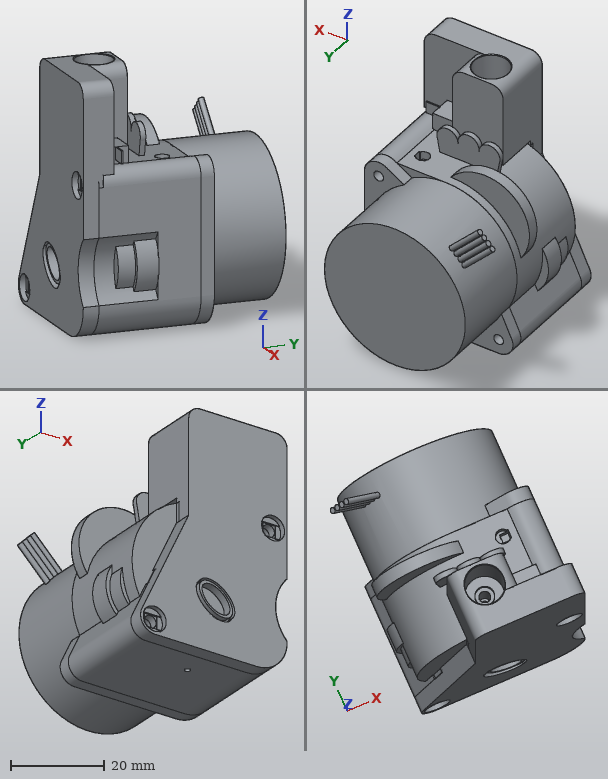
import cadquery as cq
import math


cover_back = 3.65
barrel_front = 4.6
head_back = 7.1
tower_back = 15.15
case_back = 27.15
flange_back = 30.2
motor_back = 47.1

half_width = 19.2
height = 57.75
top_corner_radius = 3.0
ear_radius = 3.7
base_corner_radius = 8.0
tower_left = -6.6
slope_top = (tower_left, 31.3)

motor_radius = 18.2
motor_z = 19.1
deck_z = motor_z + motor_radius
deck_right = 12.8
ramp_foot_x = 7.5

screw_offset = half_width - ear_radius
lower_screw = (-screw_offset, ear_radius)
upper_screw = (screw_offset, motor_z + screw_offset)

counterbore_diameter = 6.0
counterbore_depth = 1.2
bridge_width = 3.25
bridge_step = 0.25
screw_diameter = 3.0
thread_diameter = 2.5

tower_right = 6.5
filament_y = 9.95
fitting_diameter = 8.65
fitting_chamfer = 0.2
fitting_depth = 12.0
tube_diameter = 4.3
tube_depth = 1.0
guide_diameter = 2.5
filament_diameter = 1.3

sensor_right = 13.2
sensor_back = 12.75
sensor_top = 41.6
lever_right = 16.75
lever_thickness = 0.35
lever_bottom = 38.7

oval_center = (0.75, 13.3)
oval_tilt = -38
oval_stretch = 1.66
groove_width = 6.5
groove_depth = 1.75
groove_relief = (-0.65, -0.8)
ring_width = 6.0
ring_front = 0.3
well_width = 5.0
well_depth = 2.4

tongue_bottom = 18.0
gap_bottom = 14.25
tongue_width = 1.75
gap_width = 0.3

gear_center = (-8.45, 29.9)
gear_radius = 11.5
gear_front = 22.05
gear_back = 24.95
wheel_x = 10.55
wheel_z = 15.9
rim_radius = 9.1
rim_front = 12.25
rim_back = 17.25
hub_radius = 8.15
hub_front = 8.25
thumb_notch_radius = 11.0
thumb_notch_x = 27.15

latch_front = 17.45
latch_back = 18.7
lobe_radius = 2.7
lobe_pitch = 5.4
side_lobe_z = 41.6
middle_lobe_z = 42.05
latch_foot_half = 6.95
latch_foot_z = 34.65

socket_center = (9.5, 21.95)
socket_diameter = 3.25
socket_depth = 2.0
slot_left = 9.2
slot_width = 1.95
slot_depth = 4.0

wire_count = 4
wire_diameter = 1.3
wire_pitch = 1.5
wire_y = 41.8
wire_inner_radius = 16.15
wire_outer_radius = 28.35


def sketch_plane(y):
    """XZ plane at depth y; its normal points forwards, to -Y."""
    return cq.Workplane("XZ", origin=(0, y, 0))


def slab(outline, front, back):
    """Extrude an outline drawn on sketch_plane(front) backwards to Y = back."""
    return outline.extrude(front - back)


def disc(center, radius, front, back):
    return slab(sketch_plane(front).center(*center).circle(radius), front, back)


def block(x_range, y_range, z_range):
    (x0, x1), (y0, y1), (z0, z1) = x_range, y_range, z_range
    return cq.Workplane("XY").box(x1 - x0, y1 - y0, z1 - z0, centered=False).translate((x0, y0, z0))


def on_circle(center, radius, angle):
    return (center[0] + radius * math.cos(angle), center[1] + radius * math.sin(angle))


def tangent_angle(point, center, radius, side):
    """Angle on the circle where the tangent from an outside point touches it."""
    dx = point[0] - center[0]
    dz = point[1] - center[1]
    return math.atan2(dz, dx) + side * math.acos(radius / math.hypot(dx, dz))


slope_angle = tangent_angle(slope_top, lower_screw, ear_radius, 1)
slope_foot = on_circle(lower_screw, ear_radius, slope_angle)
ramp_angle = tangent_angle((deck_right, deck_z), upper_screw, ear_radius, -1)
ramp_top = on_circle(upper_screw, ear_radius, ramp_angle)


def lower_outline(y):
    """Open outline from the slope top round the lower ear and base corner to the right side."""
    ear_mid = on_circle(lower_screw, ear_radius, (slope_angle % math.tau + 1.5 * math.pi) / 2)
    base_center = (half_width - base_corner_radius, base_corner_radius)
    return (
        sketch_plane(y)
        .moveTo(*slope_top)
        .lineTo(*slope_foot)
        .threePointArc(ear_mid, (lower_screw[0], 0))
        .lineTo(base_center[0], 0)
        .threePointArc(
            on_circle(base_center, base_corner_radius, -math.pi / 4), (half_width, base_corner_radius)
        )
    )


def cover_profile(front, back):
    outline = lower_outline(front).lineTo(half_width, height).lineTo(tower_left, height).close()
    return slab(outline, front, back).edges("|Y and >Z").fillet(top_corner_radius)


def case_profile(front, back):
    """Block between the two ears; the ramp beside the upper ear runs down into the round barrel."""
    ramp_slope = (ramp_top[1] - deck_z) / (ramp_top[0] - deck_right)
    ramp_foot = (ramp_foot_x, deck_z + ramp_slope * (ramp_foot_x - deck_right))
    outline = (
        lower_outline(front)
        .lineTo(half_width, upper_screw[1])
        .threePointArc(on_circle(upper_screw, ear_radius, ramp_angle / 2), ramp_top)
        .lineTo(*ramp_foot)
        .close()
    )
    return slab(outline, front, back)


def slope_strip(bottom, top, width):
    """Strip along the slope, between the cover plate and the barrel front, from bottom to top."""
    run = (slope_top[0] - slope_foot[0]) / (slope_top[1] - slope_foot[1])
    bottom_x = slope_foot[0] + run * (bottom - slope_foot[1])
    top_x = slope_foot[0] + run * (top - slope_foot[1])
    outline = sketch_plane(cover_back).polyline(
        [(bottom_x, bottom), (bottom_x + width, bottom), (top_x + width, top), (top_x, top)]
    )
    return slab(outline.close(), cover_back, barrel_front)


def screw_holes(diameter):
    holes = sketch_plane(0).pushPoints([lower_screw, upper_screw]).circle(diameter / 2)
    return slab(holes, 0, motor_back)


def vertical_hole(diameter, bottom, top):
    circle = cq.Workplane("XY", origin=(0, filament_y, bottom)).circle(diameter / 2)
    return circle.extrude(top - bottom)


def thumb_notch():
    return disc((thumb_notch_x, wheel_z), thumb_notch_radius, 0, rim_back)


def thumb_wheel(x):
    rim = disc((x, wheel_z), rim_radius, rim_front, rim_back)
    hub = disc((x, wheel_z), hub_radius, hub_front, rim_front)
    return rim.union(hub)


def latch():
    lobe_centers = [(-lobe_pitch, side_lobe_z), (0, middle_lobe_z), (lobe_pitch, side_lobe_z)]
    shoulder = lobe_pitch + lobe_radius
    web = sketch_plane(latch_front).polyline(
        [
            (-latch_foot_half, latch_foot_z),
            (latch_foot_half, latch_foot_z),
            (shoulder, side_lobe_z),
            (-shoulder, side_lobe_z),
        ]
    )
    plate = slab(web.close(), latch_front, latch_back)
    for center in lobe_centers:
        plate = plate.union(disc(center, lobe_radius, latch_front, latch_back))
    return plate


def deck_socket():
    x, y = socket_center
    round_part = (
        cq.Workplane("XY", origin=(x, y, deck_z)).circle(socket_diameter / 2).extrude(-socket_depth)
    )
    slot = block(
        (slot_left, x + socket_diameter / 2),
        (y - slot_width / 2, y + slot_width / 2),
        (deck_z - slot_depth, deck_z),
    )
    return round_part.union(slot)


def barrel():
    """Round gear barrel; in front of its end face it only exists behind the cover."""
    full = disc((0, motor_z), motor_radius, barrel_front, case_back)
    nose = disc((0, motor_z), motor_radius, cover_back, barrel_front)
    return full.union(nose.intersect(cover_profile(cover_back, barrel_front)))


deck = block((0, deck_right), (cover_back, case_back), (motor_z, deck_z))
case_solid = case_profile(cover_back, case_back).union(barrel()).union(deck)
tongue = slope_strip(tongue_bottom, slope_top[1], tongue_width)
gap = slope_strip(gap_bottom, tongue_bottom, gap_width)
case = case_solid.cut(tongue).cut(gap).cut(thumb_notch())
for wheel_side in (-1, 1):
    case = case.union(thumb_wheel(wheel_side * wheel_x))
case = case.union(disc(gear_center, gear_radius, gear_front, gear_back))
case = case.union(latch())
case = case.cut(deck_socket())
case = case.cut(vertical_hole(filament_diameter, 0, deck_z))
case = case.cut(screw_holes(screw_diameter))


def tower():
    body = block((tower_left, tower_right), (0, tower_back), (deck_z, height))
    return body.edges("|Y and >Z").fillet(top_corner_radius)


def sensor():
    housing = block((tower_right, sensor_right), (cover_back, sensor_back), (motor_z, sensor_top))
    lever = block(
        (sensor_right, lever_right),
        (filament_y - lever_thickness / 2, filament_y + lever_thickness / 2),
        (lever_bottom, sensor_top),
    )
    return housing.union(lever)


def fitting_bore():
    floor = height - fitting_depth
    mouth = (
        cq.Workplane("XY", origin=(0, filament_y, height))
        .circle(fitting_diameter / 2 + fitting_chamfer)
        .workplane(offset=-fitting_chamfer)
        .circle(fitting_diameter / 2)
        .loft()
    )
    bore = vertical_hole(fitting_diameter, floor, height).union(mouth)
    bore = bore.union(vertical_hole(tube_diameter, floor - tube_depth, floor))
    return bore.union(vertical_hole(guide_diameter, motor_z, floor))


def counterbore(center):
    """Counterbore, then a slot, then a square, each one bridging step deeper."""
    slot_floor = counterbore_depth + bridge_step
    square_floor = slot_floor + bridge_step
    round_part = disc(center, counterbore_diameter / 2, 0, counterbore_depth)
    slot = slab(
        sketch_plane(0).center(*center).rect(counterbore_diameter, bridge_width), 0, slot_floor
    ).intersect(disc(center, counterbore_diameter / 2, 0, slot_floor))
    square = slab(sketch_plane(0).center(*center).rect(bridge_width, bridge_width), 0, square_floor)
    return round_part.union(slot).union(square)


def oval(width, front, back, shift=(0, 0)):
    """Tilted oval prism; width is its short diameter."""
    x, z = oval_center
    outline = sketch_plane(front).center(x + shift[0], z + shift[1])
    return slab(outline.ellipse(oval_stretch * width / 2, width / 2, oval_tilt), front, back)


def oval_recess():
    groove = oval(groove_width, 0, groove_depth)
    groove = groove.union(oval(groove_width, 0, groove_depth, groove_relief))
    ring = oval(ring_width, ring_front, groove_depth)
    return groove.cut(ring).union(oval(well_width, 0, well_depth))


def head():
    """Thick upper part of the cover; its lower rim closes round the nose of the barrel."""
    upper = block((tower_left, half_width), (cover_back, head_back), (deck_z, height))
    rim = block((tower_left, half_width), (cover_back, barrel_front), (motor_z, height))
    return cover_profile(cover_back, head_back).intersect(upper.union(rim))


cover = head().union(tower()).union(sensor())
cover = cover.cut(case_solid)
cover = cover.union(cover_profile(0, cover_back)).union(tongue)
cover = cover.cut(fitting_bore()).cut(thumb_notch()).cut(oval_recess()).cut(screw_holes(screw_diameter))
for screw in (lower_screw, upper_screw):
    cover = cover.cut(counterbore(screw))


def wires():
    """Flat row of parallel wires leaving the motor radially at 45 degrees, up and to the left."""
    direction = cq.Vector(-1, 0, 1).normalized()
    across = cq.Vector(1, 0, 1).normalized()
    axis_point = cq.Vector(0, wire_y, motor_z)
    row = cq.Workplane("XY")
    for index in range(wire_count):
        shift = (index - (wire_count - 1) / 2) * wire_pitch
        start = axis_point + direction * wire_inner_radius + across * shift
        length = wire_outer_radius - wire_inner_radius
        row = row.add(cq.Solid.makeCylinder(wire_diameter / 2, length, start, direction))
    return row.combine()


motor = disc((0, motor_z), motor_radius, case_back, motor_back)
motor = motor.union(case_profile(case_back, flange_back))
motor = motor.union(wires()).cut(screw_holes(thread_diameter))

result = cq.Compound.makeCompound([cover.val(), case.val(), motor.val()])